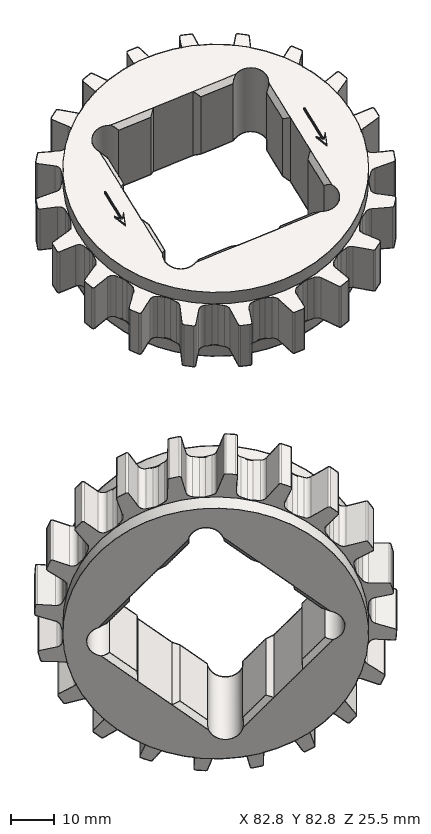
import cadquery as cq
import math

body_radius = 34.9
body_height = 25.0
band_height = 16.0
band_base = (body_height - band_height) / 2

tooth_count = 20
tooth_pitch = 360 / tooth_count
tip_height = 41.38
drive_flank = -2.1
back_flank_tip = 0.95
back_flank_foot = 2.5
foot_height = 35.6
valley_height = 34.9
valley_fillet = 3.6
foot_fillet = 1.7
tip_fillet = 0.5

bore_half = 21.6
relief_offset = 18.0
relief_radius = 4.1

pad_half_gap = 5.1
pad_rise = 1.3
pad_slope_angle = 45
pad_slope_height = pad_rise * math.tan(math.radians(pad_slope_angle))

arrow_height = 0.5
arrow_half_shaft = 0.15
arrow_notch_back = 1.8
arrow_barb_back = 3.2
arrow_half_barb = 1.15
drive_arrow_half_length = 5.8
drive_arrow_y = 25.5
idle_arrow_half_length = 5.2
idle_arrow_y = -25.7


def turned(point, degrees):
    """Turn a point counterclockwise about the part axis."""
    x, y = point
    angle = math.radians(degrees)
    return (x * math.cos(angle) - y * math.sin(angle), x * math.sin(angle) + y * math.cos(angle))


def fillet_upright_edges(solid, inner_radius, outer_radius, fillet):
    """Round the edges along Z that lie between two distances from the part axis."""

    def in_range(edge):
        return inner_radius < math.hypot(edge.Center().x, edge.Center().y) < outer_radius

    return solid.edges("|Z").filter(in_range).fillet(fillet)


def make_toothed_band():
    tooth = [
        (drive_flank, foot_height),
        (drive_flank, tip_height),
        (back_flank_tip, tip_height),
        (back_flank_foot, foot_height),
    ]
    valley = turned((0, valley_height), -tooth_pitch / 2)
    outline = [
        turned(point, -index * tooth_pitch)
        for index in range(tooth_count)
        for point in tooth + [valley]
    ]
    band = cq.Workplane("XY").workplane(offset=band_base).polyline(outline).close().extrude(band_height)

    mid_tooth = (foot_height + tip_height) / 2
    mid_floor = (foot_height + valley_height) / 2
    band = fillet_upright_edges(band, mid_tooth, tip_height + back_flank_foot, tip_fillet)
    band = fillet_upright_edges(band, 0, mid_floor, valley_fillet)
    return fillet_upright_edges(band, mid_floor, mid_tooth, foot_fillet)


def make_bore():
    """Square bore without its corners, which the reliefs replace."""
    across_x = cq.Workplane("XY").rect(2 * bore_half, 2 * relief_offset).extrude(body_height)
    across_y = cq.Workplane("XY").rect(2 * relief_offset, 2 * bore_half).extrude(body_height)
    return across_x.union(across_y)


def make_reliefs():
    return (
        cq.Workplane("XY")
        .rect(2 * relief_offset, 2 * relief_offset, forConstruction=True)
        .vertices()
        .circle(relief_radius)
        .extrude(body_height)
    )


def make_pad():
    """Pad on the +Y wall, at its +X end, reaching into the corner relief."""
    face_y = bore_half - pad_rise
    plan = (
        cq.Workplane("XY")
        .moveTo(pad_half_gap, bore_half)
        .lineTo(pad_half_gap + pad_rise, face_y)
        .lineTo(relief_offset, face_y)
        .lineTo(relief_offset, bore_half)
        .close()
        .extrude(body_height)
    )
    side = (
        cq.Workplane("YZ")
        .moveTo(bore_half, 0)
        .lineTo(face_y, pad_slope_height)
        .lineTo(face_y, body_height - pad_slope_height)
        .lineTo(bore_half, body_height)
        .close()
        .extrude(relief_offset)
    )
    return plan.intersect(side)


def make_arrow(half_length, center_y):
    """Raised arrow pointing along +X."""
    notch = half_length - arrow_notch_back
    barb = half_length - arrow_barb_back
    outline = [
        (-half_length, arrow_half_shaft),
        (notch, arrow_half_shaft),
        (barb, arrow_half_barb),
        (half_length, 0),
        (barb, -arrow_half_barb),
        (notch, -arrow_half_shaft),
        (-half_length, -arrow_half_shaft),
    ]
    return (
        cq.Workplane("XY", origin=(0, center_y, body_height))
        .polyline(outline)
        .close()
        .extrude(arrow_height)
    )


body = cq.Workplane("XY").circle(body_radius).extrude(body_height)
body = body.union(make_toothed_band()).cut(make_bore())

pad = make_pad()
for pad_side in (pad, pad.mirror("YZ")):
    for wall in range(4):
        body = body.union(pad_side.rotate((0, 0, 0), (0, 0, 1), wall * 90))

body = body.cut(make_reliefs())
body = body.union(make_arrow(drive_arrow_half_length, drive_arrow_y))
result = body.union(make_arrow(idle_arrow_half_length, idle_arrow_y))